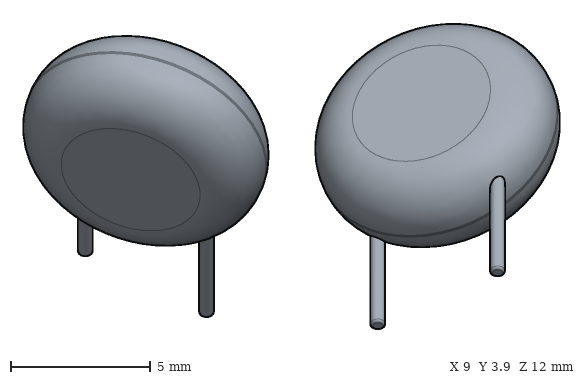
import cadquery as cq

total_height = 12.03
disc_diameter = 9.0
disc_thickness = 3.9
rim_radius = 1.9
pin_diameter = 0.54
pin_offset_x = 2.5
pin_offset_y = 0.79
tip_radius = 0.1

disc_radius = disc_diameter / 2
pin_bottom = disc_radius - total_height


def make_disc():
    """Disc centred on the origin, lying in the XZ plane, with rounded rims."""
    disc = cq.Workplane("XZ").circle(disc_radius).extrude(disc_thickness / 2, both=True)
    return disc.faces("<Y or >Y").edges().fillet(rim_radius)


def make_pin(x, y):
    """Vertical pin with a rounded tip, rooted at the disc's mid-height."""
    pin = (
        cq.Workplane("XY", origin=(x, y, pin_bottom))
        .circle(pin_diameter / 2)
        .extrude(-pin_bottom)
    )
    return pin.faces("<Z").edges().fillet(tip_radius)


result = make_disc()
for side in (-1, 1):
    result = result.union(make_pin(side * pin_offset_x, -side * pin_offset_y))